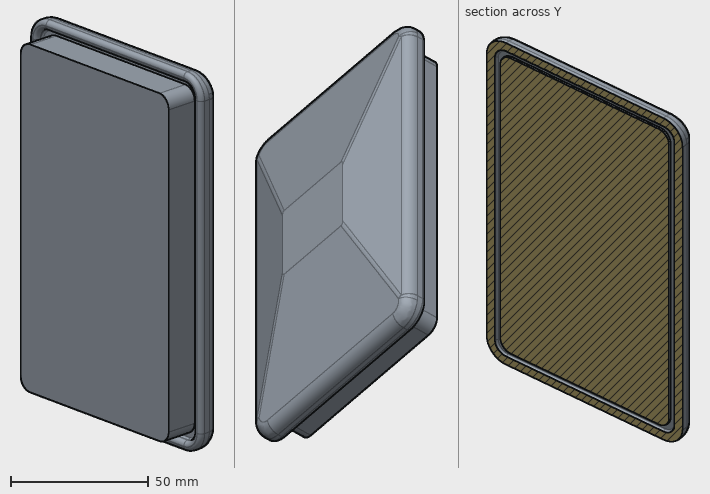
import cadquery as cq

width = 91.0
height = 148.0
corner_radius = 9.0

plug_depth = 10.0
flange_depth = 8.0
crown_rise = 8.9
rim_y = plug_depth
crown_base_y = rim_y + flange_depth
crown_top_y = crown_base_y + crown_rise

crown_flat_width = 35.0
crown_flat_height = 32.0
crown_edge_radius = 5.0

plug_width = 78.5
plug_height = 136.0
plug_corner_radius = 5.0

lip_width = 4.0
lip_edge_radius = 1.9
recess_depth = 3.0
recess_fillet_radius = 0.7


def rounded_block(size_x, size_z, radius, y_start, depth):
    """Rounded rectangle in X-Z, centred on the Y axis and extruded towards +Y."""
    return (
        cq.Workplane("XZ", origin=(0, y_start, 0))
        .rect(size_x, size_z)
        .extrude(-depth)
        .edges("|Y")
        .fillet(radius)
    )


def crown_profile(plane, size, flat_size, length):
    """Flange wall with two slopes up to the flat, extruded both ways from the plane through the axis."""
    half_profile = [(size / 2, rim_y), (size / 2, crown_base_y), (flat_size / 2, crown_top_y)]
    mirrored = [(-across, y) for across, y in reversed(half_profile)]
    return cq.Workplane(plane).polyline(half_profile + mirrored).close().extrude(length / 2, both=True)


def edges_between(body, y_low, y_high):
    """Edges whose centres lie between two positions along Y."""
    return body.edges(cq.selectors.BoxSelector((-width, y_low, -height), (width, y_high, height)))


def make_cap():
    """Flange and pyramid crown with rounded corners, hips and outline."""
    cap = crown_profile("XY", width, crown_flat_width, height).intersect(
        crown_profile("ZY", height, crown_flat_height, width)
    )
    cap = cap.edges("|Y").fillet(corner_radius)

    middle_margin = 0.2 * crown_rise
    hips = edges_between(cap, crown_base_y + middle_margin, crown_top_y - middle_margin)
    cap = hips.fillet(crown_edge_radius)

    outline_band = 0.15 * crown_rise
    outline = edges_between(cap, crown_base_y, crown_base_y + outline_band).edges("not |Y")
    return outline.fillet(crown_edge_radius)


def cut_recess(body):
    """Sink the middle of the rim face, leaving a lip around the outline."""
    recess = rounded_block(
        width - 2 * lip_width,
        height - 2 * lip_width,
        corner_radius - lip_width,
        rim_y,
        recess_depth,
    )
    return body.cut(recess.faces(">Y").edges().fillet(recess_fillet_radius))


def round_lip(body):
    """Round the outer and inner edges of the lip."""
    return body.faces("<Y").edges().fillet(lip_edge_radius)


plug = rounded_block(plug_width, plug_height, plug_corner_radius, 0, plug_depth + recess_depth)
result = round_lip(cut_recess(make_cap())).union(plug)